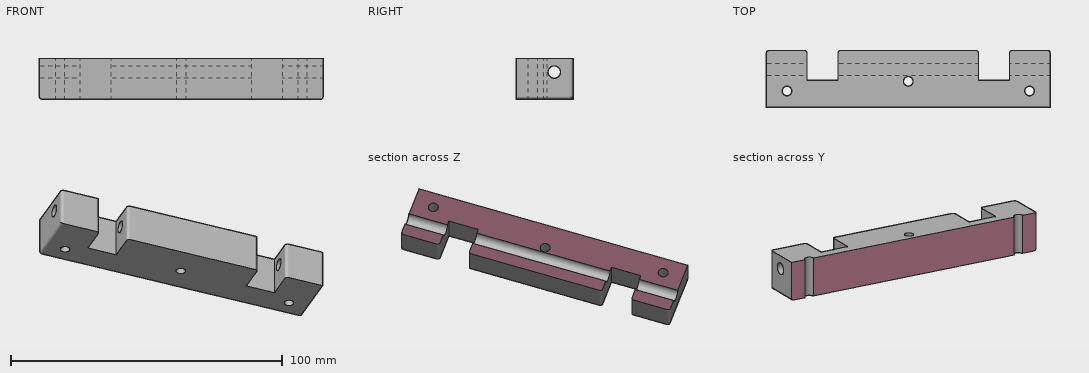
import cadquery as cq

length = 104.5
depth = 21.0
height = 15.0
corner_radius = 1.0

notch_width = 11.3
notch_depth = 11.0
notch_offset = 31.6

mount_diameter = 3.5
end_hole_offset = 44.6
end_hole_setback = 6.1
middle_hole_setback = 9.6

rod_diameter = 4.5
rod_from_rear = 7.0
rod_from_top = 5.0

front_y = -depth / 2
rear_y = depth / 2


def notch(center_x):
    """Full-height block that opens a notch in the rear face."""
    return (
        cq.Workplane("XY")
        .center(center_x, rear_y - notch_depth / 2)
        .rect(notch_width, notch_depth)
        .extrude(height)
    )


body = cq.Workplane("XY").box(length, depth, height, centered=(True, True, False))
for center_x in (-notch_offset, notch_offset):
    body = body.cut(notch(center_x))

body = body.faces(">Y").edges("|Z").fillet(corner_radius)

end_profile = (
    cq.Workplane("XY")
    .box(length, depth, height, centered=(True, True, False))
    .faces("<Z")
    .edges("|Y")
    .fillet(corner_radius)
)
body = body.intersect(end_profile)

end_hole_y = front_y + end_hole_setback
mount_points = [
    (-end_hole_offset, end_hole_y),
    (0, front_y + middle_hole_setback),
    (end_hole_offset, end_hole_y),
]
mount_holes = cq.Workplane("XY").pushPoints(mount_points).circle(mount_diameter / 2).extrude(height)

rod_hole = (
    cq.Workplane("YZ", origin=(-length / 2, 0, 0))
    .center(rear_y - rod_from_rear, height - rod_from_top)
    .circle(rod_diameter / 2)
    .extrude(length)
)

result = body.cut(mount_holes).cut(rod_hole)